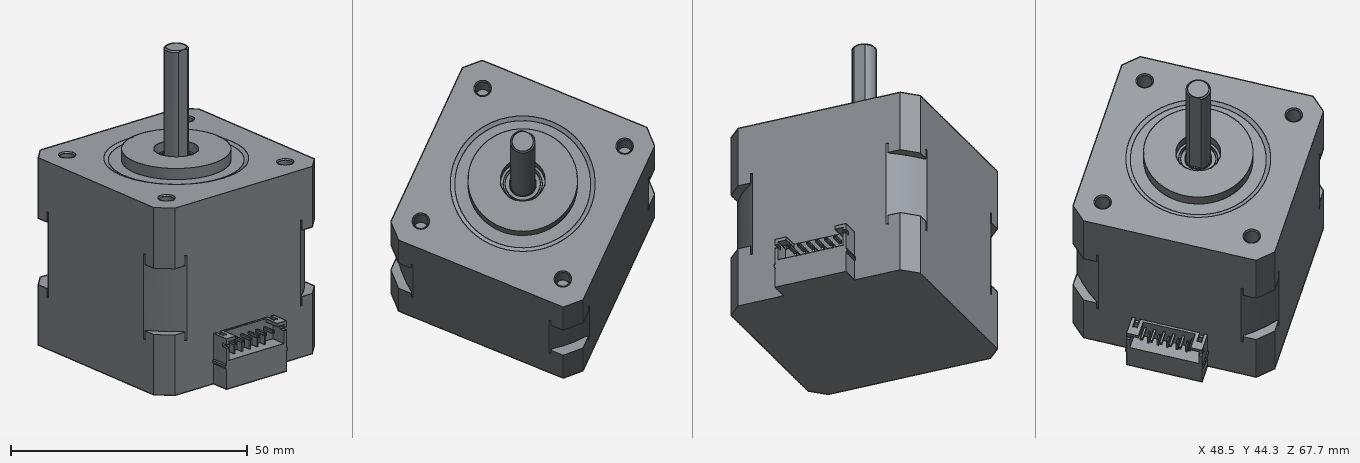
import cadquery as cq
import math

housing_side = 44.25
housing_height = 42.4
corner_chamfer = 3.2
half_side = housing_side / 2

band_bottom = 13.7
band_top = 28.7
groove_bottom = 11.7
groove_top = 30.9
groove_inner = 15.6
groove_width = 0.5
groove_outer = groove_inner + groove_width
band_radius = math.hypot(half_side, groove_inner)

boss_radius = 11.6
boss_height = 2.15
recess_top_radius = 15.3
recess_floor_radius = 14.35
recess_depth = 0.35

well_radius = 4.75
bearing_depth = 5.0
ring_depth = 0.3
shield_gap_inner = 3.7
shield_gap_outer = 4.1
shaft_relief_radius = 2.85

hole_spacing = 32.7
hole_radius = 1.55
hole_mouth_radius = 1.8
hole_depth = 4.75

overall_height = 67.65
shaft_radius = 2.6
shaft_flat = 2.2
shaft_chamfer = 0.35
shaft_bottom = housing_height - bearing_depth

connector_depth = 4.25
connector_width = 16.6
connector_height = 11.45
connector_front = half_side + connector_depth
cavity_back = half_side + 0.55
cavity_depth = connector_front - cavity_back
cavity_width = 15.15
cavity_bottom = 6.4
cavity_top = 10.7
window_width = 11.4
slot_length = 2.2
slot_width = 0.95
slot_offset = 7.05
notch_bottom = 9.35
notch_top = 10.1
notch_depth = 1.3
rib_bottom = 4.6
rib_height = 1.0
rib_bevel = 0.3
rib_reach = 0.24

pin_count = 6
pin_pitch = 2.1
pin_size = 0.55
pin_taper = 0.2
pin_tip = 25.85
pin_height = 9.4
divider_length = 1.5
divider_width = 0.35
divider_height = 2.0


def block(x_min, x_size, y_center, y_size, z_min, z_max):
    """Box starting at x_min and z_min, centred on y_center."""
    return (
        cq.Workplane("XY")
        .box(x_size, y_size, z_max - z_min, centered=(False, True, False))
        .translate((x_min, y_center, z_min))
    )


def disc(radius, z_min, z_max):
    """Cylinder on the motor axis."""
    return cq.Workplane("XY").workplane(offset=z_min).circle(radius).extrude(z_max - z_min)


def make_block():
    """Chamfered block with corner bands cut to an arc and grooves reaching down to the same arc."""
    body = block(-half_side, housing_side, 0, housing_side, 0, housing_height)
    body = body.edges("|Z").chamfer(corner_chamfer)
    length = 2 * housing_side
    bands = block(-length / 2, length, 0, length, band_bottom, band_top)
    bands = bands.cut(disc(band_radius, band_bottom, band_top))
    body = body.cut(bands)

    cross = block(-length / 2, length, 0, 2 * groove_outer, groove_bottom, groove_top)
    cross = cross.union(block(-groove_outer, 2 * groove_outer, 0, length, groove_bottom, groove_top))
    return body.cut(cross.cut(disc(band_radius, groove_bottom, groove_top)))


def add_boss(body):
    """Sink the sloped recess and stand the pilot boss in it."""
    floor = housing_height - recess_depth
    recess = (
        cq.Workplane("XZ")
        .polyline([
            (0, floor),
            (recess_floor_radius, floor),
            (recess_top_radius, housing_height),
            (0, housing_height),
        ])
        .close()
        .revolve(360, (0, 0), (0, 1))
    )
    return body.cut(recess).union(disc(boss_radius, floor, housing_height + boss_height))


def cut_bearing(body):
    """Open the shaft well, the bearing rings and the bore that holds the shaft."""
    ring_floor = housing_height - ring_depth
    body = body.cut(disc(well_radius, housing_height, housing_height + boss_height))
    shield_gap = disc(shield_gap_outer, ring_floor, housing_height)
    shield_gap = shield_gap.cut(disc(shield_gap_inner, ring_floor, housing_height))
    body = body.cut(shield_gap)
    body = body.cut(disc(shaft_relief_radius, ring_floor, housing_height))
    return body.cut(make_shaft())


def cut_mounting_holes(body):
    """Four blind holes with chamfered mouths."""
    mouth_depth = hole_mouth_radius - hole_radius
    hole = (
        cq.Workplane("XZ")
        .polyline([
            (0, -hole_depth),
            (hole_radius, -hole_depth),
            (hole_radius, -mouth_depth),
            (hole_mouth_radius, 0),
            (0, 0),
        ])
        .close()
        .revolve(360, (0, 0), (0, 1))
    )
    for x_side in (-1, 1):
        for y_side in (-1, 1):
            place = (x_side * hole_spacing / 2, y_side * hole_spacing / 2, housing_height)
            body = body.cut(hole.translate(place))
    return body


def make_side_rib(side):
    """Bevelled rib along one end of the connector."""
    wall = side * connector_width / 2
    crest = wall + side * rib_reach
    rib_top = rib_bottom + rib_height
    return (
        cq.Workplane("YZ")
        .workplane(offset=half_side)
        .polyline([
            (0, rib_bottom),
            (wall, rib_bottom),
            (crest, rib_bottom + rib_bevel),
            (crest, rib_top - rib_bevel),
            (wall, rib_top),
            (0, rib_top),
        ])
        .close()
        .extrude(connector_depth)
    )


def make_pin(y_center):
    """Square pin pointing along +X with a tapered tip."""
    pin = block(
        half_side, pin_tip - half_side, y_center, pin_size,
        pin_height - pin_size / 2, pin_height + pin_size / 2,
    )
    return pin.faces(">X").chamfer(pin_taper)


def make_connector():
    """Open-fronted connector shell with its ribs, openings, pins and dividers."""
    shell = block(half_side, connector_depth, 0, connector_width, 0, connector_height)
    for side in (-1, 1):
        shell = shell.union(make_side_rib(side))
    shell = shell.cut(block(cavity_back, cavity_depth, 0, cavity_width, cavity_bottom, cavity_top))
    shell = shell.cut(block(cavity_back, cavity_depth, 0, window_width, cavity_top, connector_height))
    for side in (-1, 1):
        slot = block(half_side, slot_length, side * slot_offset, slot_width, cavity_top, connector_height)
        shell = shell.cut(slot)
    notch_back = connector_front - notch_depth
    shell = shell.cut(block(notch_back, notch_depth, 0, connector_width, notch_bottom, notch_top))

    first_pin = -pin_pitch * (pin_count - 1) / 2
    for index in range(pin_count):
        shell = shell.union(make_pin(first_pin + index * pin_pitch))
    for index in range(pin_count - 1):
        divider = block(
            cavity_back, divider_length, first_pin + (index + 0.5) * pin_pitch, divider_width,
            cavity_bottom, cavity_bottom + divider_height,
        )
        shell = shell.union(divider)
    return shell


def make_shaft():
    """Round shaft with a chamfered top and a flat facing +X."""
    shaft = disc(shaft_radius, shaft_bottom, overall_height).faces(">Z").chamfer(shaft_chamfer)
    flat_cut = block(shaft_flat, shaft_radius, 0, 2 * shaft_radius, housing_height, overall_height)
    return shaft.cut(flat_cut)


def make_housing():
    """Motor housing with its boss, bearing, mounting holes and connector."""
    body = add_boss(make_block())
    body = cut_bearing(body)
    body = cut_mounting_holes(body)
    return body.union(make_connector())


housing = make_housing()
shaft = make_shaft()

result = cq.Compound.makeCompound([housing.val(), shaft.val()])